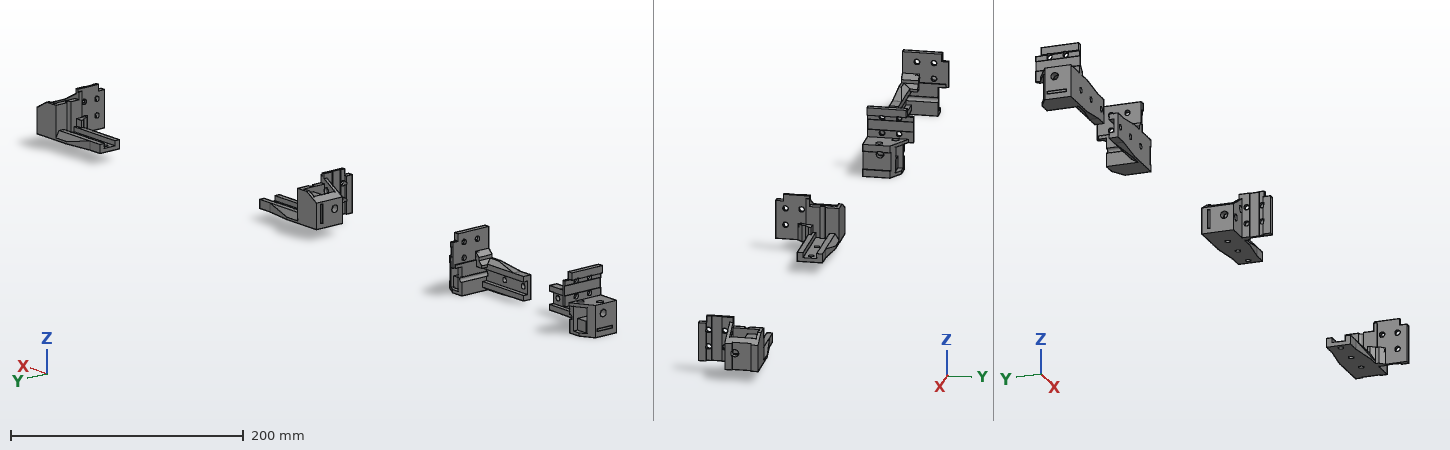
import cadquery as cq
import math

length = 80.0
height = 40.5
width = 29.0
half_width = width / 2
overall = 748.0

arm_height = 8.0
arm_floor = 4.0
taper_inset = 3.5
taper_start = 40.0
taper_end = 66.5
tip_half_width = half_width - taper_inset
channel_half_width = 6.0
bevel_drop = 6.0

base_hole_diameter = 4.7
base_hole_pitch = 25.0
tip_hole_inset = 6.0

box_length = 25.5
end_height = 24.0
roof_angle = 30.0
side_wall = 3.0
end_wall = 7.0
low_wall_height = 31.5
boss_length = 11.0
boss_width = 10.5
boss_height = 27.0
ledge_end = 15.0
ledge_height = 9.0

side_hole_diameter = 6.0
side_hole_places = [(6.0, 13.5), (18.0, 25.5)]

end_groove_y = 8.0
end_groove_width = 2.0
end_groove_depth = 1.0
end_groove_bottom = 4.5
end_groove_top = 22.0

end_notch_width = 16.5
end_notch_depth = 1.5

end_hole_diameter = 6.5
end_hole_y = -6.0
end_hole_z = 15.0

plate_start = 20.0
blade_start = 21.0
blade_thickness = 3.0
blade_end = blade_start + blade_thickness
overall_span = 56.0
blade_reach = overall_span - half_width
step_width = 7.0
lip_start = 19.0
lip_height = 34.5

blade_hole_diameter = 4.7
blade_hole_heights = [13.0, 28.0]
blade_hole_reaches = [19.0, 33.0]
groove_width = 9.0
groove_depth = 1.0

gusset_length = 4.5
gusset_reach = 7.5
foot_length = 4.0
foot_side = 6.0
gusset_height = 15.0


def block(x0, x1, y0, y1, z0, z1):
    """Box between two opposite corners."""
    return cq.Workplane("XY").box(x1 - x0, y1 - y0, z1 - z0, centered=False).translate((x0, y0, z0))


def arm():
    """Tapered arm with a channel between two rails and bevelled outer edges."""
    plan = [
        (0, half_width),
        (taper_start, half_width),
        (taper_end, tip_half_width),
        (length, tip_half_width),
    ]
    mirrored = [(x, -y) for x, y in reversed(plan)]
    body = cq.Workplane("XY").polyline(plan + mirrored).close().extrude(arm_height)
    bevel_foot = arm_height - bevel_drop
    section = [
        (-half_width, 0),
        (half_width, 0),
        (half_width, bevel_foot),
        (tip_half_width, arm_height),
        (-tip_half_width, arm_height),
        (-half_width, bevel_foot),
    ]
    body = body.intersect(cq.Workplane("YZ").polyline(section).close().extrude(length))
    channel = block(box_length, length, -channel_half_width, channel_half_width, arm_floor, arm_height)
    return body.cut(channel)


def end_box():
    """Box with a sloping roof line, open at the top, with a tall block in one corner
    and a low ledge beside it.
    """
    roof_rise = box_length * math.tan(math.radians(roof_angle))
    profile = [
        (0, 0),
        (box_length, 0),
        (box_length, end_height + roof_rise),
        (0, end_height),
    ]
    solid = cq.Workplane("XZ").polyline(profile).close().extrude(half_width, both=True)
    inner_y = half_width - side_wall
    cavity = block(end_wall, plate_start, -inner_y, inner_y, arm_floor, height)
    low_side = block(0, box_length, -inner_y, half_width, low_wall_height, height)
    boss = block(plate_start - boss_length, plate_start, inner_y - boss_width, inner_y, arm_floor, boss_height)
    ledge = block(end_wall, ledge_end, -inner_y, inner_y - boss_width, arm_floor, ledge_height)
    return solid.cut(cavity).cut(low_side).union(boss).union(ledge)


def blade():
    """Thin plate reaching out from the box, with a lip, a groove across it and four small holes."""
    lip_reach = blade_reach - step_width
    plate = block(blade_start, blade_end, -lip_reach, side_wall - half_width, 0, height)
    lip = block(lip_start, blade_end, -blade_reach, -lip_reach, 0, lip_height)
    groove_middle = sum(blade_hole_reaches) / len(blade_hole_reaches)
    groove = block(
        blade_start,
        blade_start + groove_depth,
        -groove_middle - groove_width / 2,
        -groove_middle + groove_width / 2,
        0,
        height,
    )
    holes = (
        cq.Workplane("YZ")
        .pushPoints([(-reach, z) for reach in blade_hole_reaches for z in blade_hole_heights])
        .circle(blade_hole_diameter / 2)
        .extrude(length)
    )
    return plate.union(lip).cut(groove).cut(holes)


def gusset():
    """Brace from the blade onto the arm, with two 45-degree slopes and a step between them."""
    gusset_end = blade_end + gusset_length
    foot_end = gusset_end + foot_length
    gusset_top = -half_width - gusset_reach
    foot_bottom = -half_width + foot_side
    outline = [
        (blade_end, foot_bottom),
        (foot_end, foot_bottom),
        (foot_end, -half_width + foot_length),
        (gusset_end, -half_width),
        (gusset_end, gusset_top + gusset_length),
        (blade_end, gusset_top),
    ]
    return cq.Workplane("XY").polyline(outline).close().extrude(gusset_height)


def base_holes():
    """Row of three holes through the base."""
    tip_hole = length - tip_hole_inset
    places = [(tip_hole - i * base_hole_pitch, 0) for i in range(3)]
    return cq.Workplane("XY").pushPoints(places).circle(base_hole_diameter / 2).extrude(height)


def side_holes():
    """Two holes through the box wall on the blade side."""
    return (
        cq.Workplane("XZ", origin=(0, -half_width + side_wall, 0))
        .pushPoints(side_hole_places)
        .circle(side_hole_diameter / 2)
        .extrude(side_wall)
    )


def end_hole():
    """Hole through the end wall."""
    return (
        cq.Workplane("YZ")
        .center(end_hole_y, end_hole_z)
        .circle(end_hole_diameter / 2)
        .extrude(end_wall)
    )


def bracket():
    """Features that both kinds of bracket share."""
    body = arm().union(end_box()).union(gusset()).union(blade())
    return body.cut(base_holes()).cut(side_holes()).cut(end_hole())


def plain_bracket():
    """Bracket whose flat end, at X = 0, carries one shallow groove."""
    groove = block(
        0,
        end_groove_depth,
        end_groove_y - end_groove_width / 2,
        end_groove_y + end_groove_width / 2,
        end_groove_bottom,
        end_groove_top,
    )
    return bracket().cut(groove)


def notched_bracket():
    """Mirror-image bracket, reaching toward -X, with a shallow notch in its end; the end lies at X = 0."""
    notch = block(0, end_notch_depth, -end_notch_width / 2, end_notch_width / 2, 0, height)
    return bracket().cut(notch).mirror("YZ")


upright_y = -3.0
flat_y = 4.1
upright_z = -13.5
flat_z = -18.0
upright_notched_end = 194.5
flat_plain_end = 375.0


def place_upright(body, x):
    """Stand the bracket on its side, with the base facing -Y and the blade pointing up."""
    return body.rotate((0, 0, 0), (1, 0, 0), -90).translate((x, upright_y, upright_z))


def place_flat(body, x):
    return body.translate((x, flat_y, flat_z))


plain_brackets = [place_upright(plain_bracket(), 0), place_flat(plain_bracket(), flat_plain_end)]
notched_brackets = [
    place_upright(notched_bracket(), upright_notched_end),
    place_flat(notched_bracket(), overall),
]

result = cq.Compound.makeCompound([body.val() for body in plain_brackets + notched_brackets])